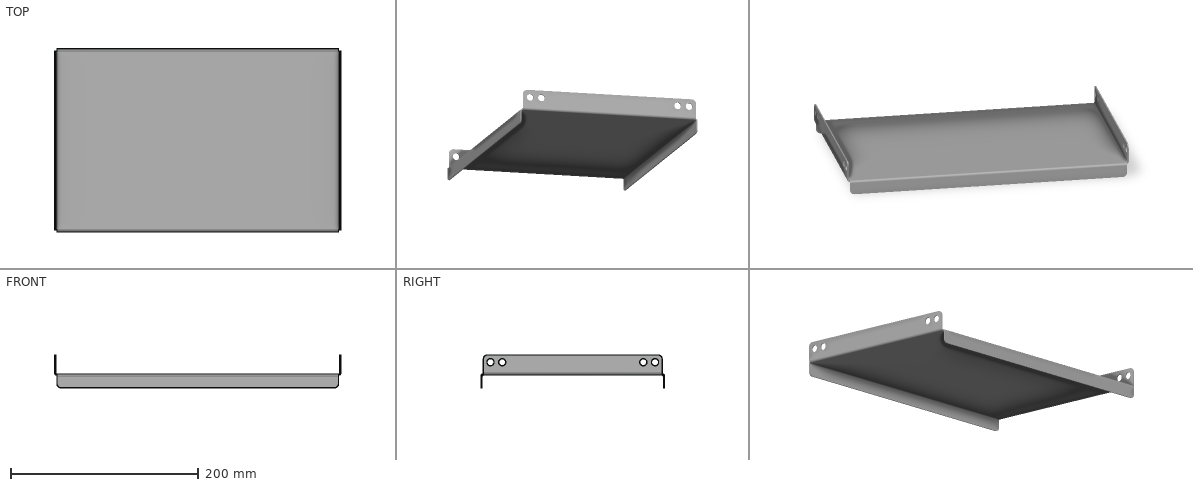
import cadquery as cq

length = 306.0
width = 196.0
height = 35.5

thickness = 1.32
inner_bend = 1.0
outer_bend = inner_bend + thickness

plate_top = 15.0
corner_radius = 5.0
flange_length = length - 2 * outer_bend
wall_length = width - 2 * outer_bend

hole_diameter = 7.3
hole_drop = 8.0
hole_inset = 10.0
hole_pitch = 12.5


def bent_channel(size_x, size_y, size_z, bend_axis, base_side):
    """U channel resting on Z = 0, bent about bend_axis, with its base at the base_side face."""
    base_edges = f"{bend_axis} and {base_side}"
    wall_gap = 2 * thickness
    if bend_axis == "|X":
        cavity_x, cavity_y = size_x, size_y - wall_gap
    else:
        cavity_x, cavity_y = size_x - wall_gap, size_y
    base_shift = thickness if base_side == "<Z" else -thickness
    outer = (
        cq.Workplane("XY")
        .box(size_x, size_y, size_z, centered=(True, True, False))
        .edges(base_edges)
        .fillet(outer_bend)
    )
    cavity = (
        cq.Workplane("XY")
        .box(cavity_x, cavity_y, size_z, centered=(True, True, False))
        .edges(base_edges)
        .fillet(inner_bend)
        .translate((0, 0, base_shift))
    )
    return outer.cut(cavity)


def upright_walls():
    """Tray base with the two walls bent up at the X ends and their free corners rounded."""
    base_bottom = plate_top - thickness
    channel = bent_channel(length, wall_length, height - base_bottom, "|Y", "<Z")
    corners = channel.faces(">Z").edges("|X")
    return corners.fillet(corner_radius).translate((0, 0, base_bottom))


def lower_flanges():
    """Tray base with the two flanges bent down at the Y ends and their free corners rounded."""
    channel = bent_channel(flange_length, width, plate_top, "|X", ">Z")
    corners = channel.faces("<Z").edges("|Y")
    return corners.fillet(corner_radius)


def mounting_holes():
    """Cylinders along X passing through both upright walls."""
    outer_y = width / 2 - hole_inset
    inner_y = outer_y - hole_pitch
    hole_z = height - hole_drop
    centres = [(side * y, hole_z) for side in (-1, 1) for y in (outer_y, inner_y)]
    return cq.Workplane("YZ").pushPoints(centres).circle(hole_diameter / 2).extrude(length, both=True)


result = upright_walls().union(lower_flanges()).cut(mounting_holes())